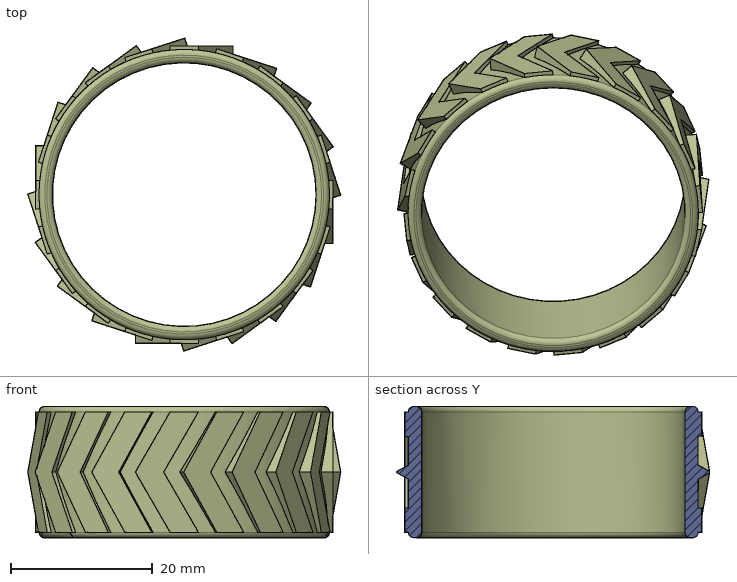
import cadquery as cq
import math

bore_diameter = 37.2
ring_diameter = 41.0
ring_width = 18.6
rim_fillet = 0.8

block_count = 20
tread_width = ring_width - 2 * rim_fillet
block_width = 4.0
sweep_angle = 30.0
tread_flat_radius = 21.0
block_root_radius = 19.0

half_tread = tread_width / 2
half_block = block_width / 2
apex_shift = half_tread * math.tan(math.radians(sweep_angle))


def make_ring():
    """Plain tube with rounded rims, inside and out."""
    tube = (
        cq.Workplane("XY", origin=(0, 0, -ring_width / 2))
        .circle(ring_diameter / 2)
        .circle(bore_diameter / 2)
        .extrude(ring_width)
    )
    return tube.faces("<Z or >Z").edges().fillet(rim_fillet)


def make_block():
    """Flat chevron block on the -Y side, its apex pointing to -X."""
    outline = [
        (-half_block, half_tread),
        (half_block, half_tread),
        (half_block - apex_shift, 0),
        (half_block, -half_tread),
        (-half_block, -half_tread),
        (-half_block - apex_shift, 0),
    ]
    return (
        cq.Workplane("XZ", origin=(0, -block_root_radius, 0))
        .polyline(outline)
        .close()
        .extrude(tread_flat_radius - block_root_radius)
    )


def add_tread(ring):
    """Join evenly spaced copies of the chevron block to the ring."""
    block = make_block()
    pitch_angle = 360 / block_count
    for index in range(block_count):
        ring = ring.union(block.rotate((0, 0, 0), (0, 0, 1), index * pitch_angle))
    return ring


result = add_tread(make_ring())